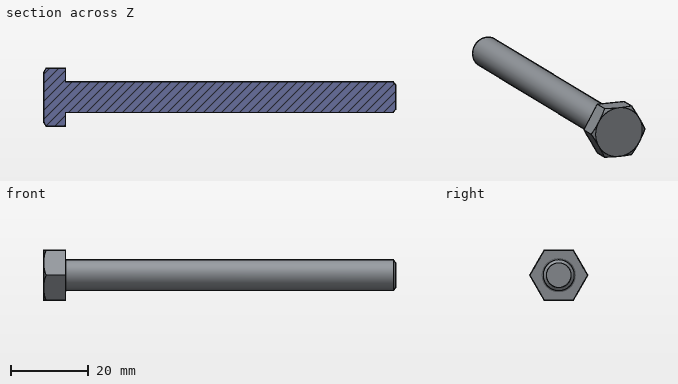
import cadquery as cq
import math

total_length = 90.7
shank_diameter = 8.0
tip_chamfer_length = 0.6
tip_chamfer_depth = 0.8
root_fillet = 0.3
head_height = 5.6
across_flats = 13.0
head_chamfer_angle = 30.0

across_corners = across_flats / math.cos(math.radians(30))
head_start = -total_length / 2
shank_start = head_start + head_height
shank_length = total_length - head_height


def make_head():
    """Hexagonal head with flats facing +Z and -Z, its outer corners turned to a cone."""
    hexagon = (
        cq.Workplane("YZ", origin=(head_start, 0, 0))
        .polygon(6, across_corners)
        .extrude(head_height)
    )
    face_radius = across_flats / 2
    corner_radius = across_corners / 2
    cone_depth = (corner_radius - face_radius) * math.tan(math.radians(head_chamfer_angle))
    envelope = (
        cq.Workplane("XY")
        .polyline([
            (head_start, 0),
            (head_start, face_radius),
            (head_start + cone_depth, corner_radius),
            (shank_start, corner_radius),
            (shank_start, 0),
        ])
        .close()
        .revolve(360, (0, 0, 0), (1, 0, 0))
    )
    return hexagon.intersect(envelope)


def make_shank():
    """Plain round shank with a chamfered tip."""
    shank = (
        cq.Workplane("YZ", origin=(shank_start, 0, 0))
        .circle(shank_diameter / 2)
        .extrude(shank_length)
    )
    shank_radius = shank_diameter / 2
    shank_end = shank_start + shank_length
    tip_ring = (
        cq.Workplane("XY")
        .polyline([
            (shank_end - tip_chamfer_length, shank_radius),
            (shank_end, shank_radius),
            (shank_end, shank_radius - tip_chamfer_depth),
        ])
        .close()
        .revolve(360, (0, 0, 0), (1, 0, 0))
    )
    return shank.cut(tip_ring)


bolt = make_head().union(make_shank())

root_edge = cq.selectors.BoxSelector(
    (shank_start - root_fillet, -shank_diameter, -shank_diameter),
    (shank_start + root_fillet, shank_diameter, shank_diameter),
)
result = bolt.edges("%CIRCLE").edges(root_edge).fillet(root_fillet)